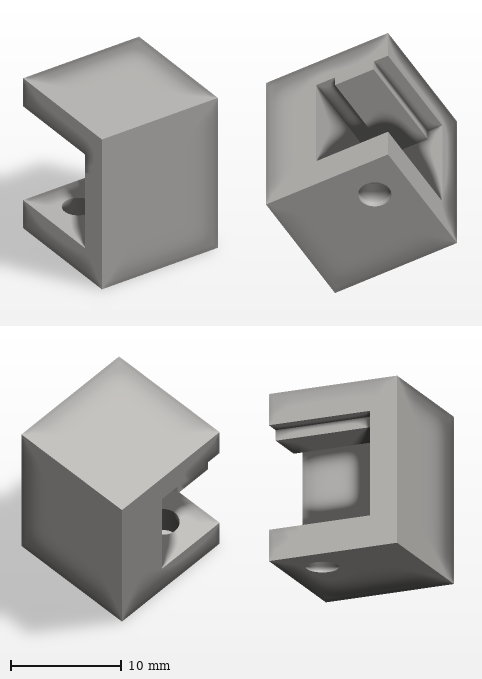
import cadquery as cq

side = 12.7
height = 16.0

pocket_length = 10.0
pocket_depth = 7.5
pocket_height = 10.0
floor_thickness = (height - pocket_height) / 2
pocket_top = floor_thickness + pocket_height

rib_width = 4.0
rib_drop = 1.0
rib_front = 1.5

hole_diameter = 3.0
hole_x = 3.75
hole_y = rib_front + rib_width / 2


def corner_box(length, width, tall, corner):
    """Box extending in +X, +Y and +Z from its lowest corner."""
    return cq.Workplane("XY").box(length, width, tall, centered=False).translate(corner)


block = corner_box(side, side, height, (0, 0, 0))
pocket = corner_box(pocket_length, pocket_depth, pocket_height, (0, 0, floor_thickness))
rib = corner_box(pocket_length, rib_width, rib_drop, (0, rib_front, pocket_top - rib_drop))
floor_hole = cq.Workplane("XY").center(hole_x, hole_y).circle(hole_diameter / 2).extrude(floor_thickness)

result = block.cut(pocket).union(rib).cut(floor_hole)